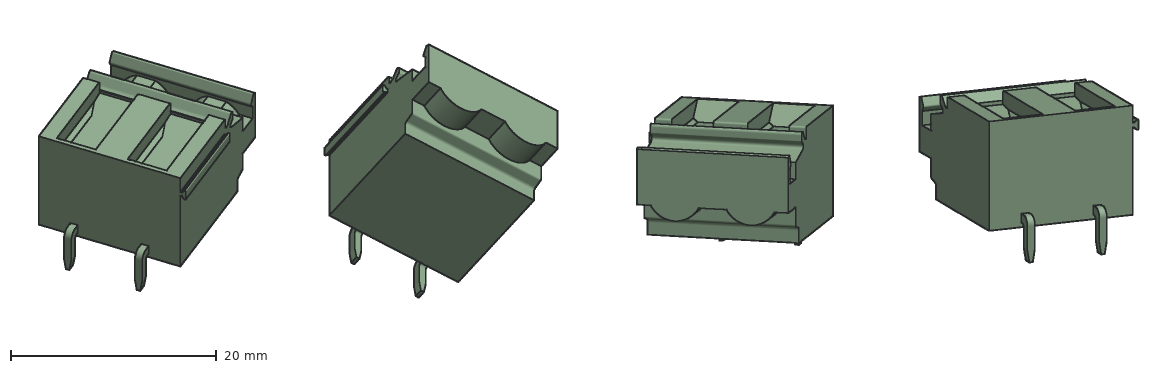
import cadquery as cq
import math


POLE_COUNT = 2
POLE_PITCH = 7.62
HOUSING_WIDTH = POLE_COUNT * POLE_PITCH
HOUSING_HEIGHT = 11.0
HOUSING_DEPTH = 17.0

TOP_WALL_Y = 10.21
REAR_WALL_Y = 14.2
BASE_WALL_Y = 12.97
LEDGE_BOTTOM = 3.83
LEDGE_TOP = 6.62
TOP_EDGE_RADIUS = 0.2

NOTCH_CORNER_Z = 9.68
NOTCH_RADIUS = 0.2
FINGER_FOOT_Y = 10.8
FINGER_FOOT_Z = 9.99
FINGER_FOOT_RADIUS = 0.46
FINGER_REAR_Y = 11.93
FINGER_APEX_Z = 11.27
FINGER_TIP_RADIUS = 0.3
FINGER_LOWER_Z = 9.9
FINGER_LOWER_RADIUS = 0.1
THROAT_Y = 10.99
THROAT_Z = 9.15
THROAT_RADIUS = 0.28
SLOPE_END_Z = 8.29

LIP_INNER_Y = 16.37
LIP_NECK_Z = 8.05
LIP_NOSE_Y = 16.02
LIP_NOSE_Z = 8.57
LIP_NOSE_RADIUS = 0.18
LIP_PEAK_Y = 16.58
LIP_PEAK_Z = 9.49
LIP_PEAK_RADIUS = 0.07
LIP_OUTER_Z = 9.35

STEP_OUTER_Z = 1.89
STEP_OUTER_RADIUS = 0.24
STEP_INNER_Z = 1.55
STEP_INNER_RADIUS = 0.37

BOSS_RADIUS = 2.75
BOSS_CENTRE_Z = 5.16
BOSS_TOP = 7.73

POCKET_WIDTH = 4.18
POCKET_FRONT_Y = 0.5
POCKET_DEPTH = 1.89
POCKET_FLOOR_REAR_Y = 7.22
POCKET_REAR_RISE = 0.5
POCKET_FLOOR_WIDTH = 3.09
POCKET_SIDE_RISE = 0.3

RAIL_CENTRE_Z = 9.03
RAIL_PROJECTION = 0.6
RAIL_NECK_HEIGHT = 0.48
RAIL_HEAD_HEIGHT = 1.05
RAIL_NECK_LENGTH = 0.15
RAIL_HEAD_THICKNESS = 0.17
RAIL_EDGE_RADIUS = 0.1
RAIL_LENGTH = TOP_WALL_Y - TOP_EDGE_RADIUS

PIN_WIDTH = 0.8
PIN_THICKNESS = 0.9
PIN_REACH = 1.5
PIN_TOP = 1.39
PIN_DROP = 3.2
PIN_INNER_RADIUS = 0.39
PIN_OUTER_RADIUS = 0.9
PIN_TAPER_LENGTH = 1.25
PIN_TIP_WIDTH = 0.37

POLE_CENTRES = [(pole + 0.5) * POLE_PITCH for pole in range(POLE_COUNT)]


def rounded_outline(plane, corners):
    """Closed outline through (u, v, radius) corners; a radius of 0 leaves the corner sharp."""
    outline = None
    for index, (u, v, radius) in enumerate(corners):
        corner = cq.Vector(u, v)
        before = cq.Vector(*corners[index - 1][:2])
        after = cq.Vector(*corners[(index + 1) % len(corners)][:2])
        to_before = (before - corner).normalized()
        to_after = (after - corner).normalized()
        half_angle = to_before.getAngle(to_after) / 2
        tangent_length = radius / math.tan(half_angle)
        start = corner + to_before * tangent_length
        if outline is None:
            outline = cq.Workplane(plane).moveTo(start.x, start.y)
        else:
            outline = outline.lineTo(start.x, start.y)
        if radius > 0:
            bisector = (to_before + to_after).normalized()
            middle = corner + bisector * (radius / math.sin(half_angle) - radius)
            end = corner + to_after * tangent_length
            outline = outline.threePointArc((middle.x, middle.y), (end.x, end.y))
    return outline.close()


def make_shell():
    """Constant side profile (Y, Z, corner radius) across the full width."""
    profile = [
        (0, 0, 0),
        (0, HOUSING_HEIGHT, 0),
        (TOP_WALL_Y, HOUSING_HEIGHT, TOP_EDGE_RADIUS),
        (TOP_WALL_Y, NOTCH_CORNER_Z, NOTCH_RADIUS),
        (FINGER_FOOT_Y, FINGER_FOOT_Z, FINGER_FOOT_RADIUS),
        (FINGER_REAR_Y, FINGER_APEX_Z, FINGER_TIP_RADIUS),
        (FINGER_REAR_Y, FINGER_LOWER_Z, FINGER_LOWER_RADIUS),
        (THROAT_Y, THROAT_Z, THROAT_RADIUS),
        (REAR_WALL_Y, SLOPE_END_Z, 0),
        (REAR_WALL_Y, LEDGE_TOP, 0),
        (LIP_INNER_Y, LEDGE_TOP, 0),
        (LIP_INNER_Y, LIP_NECK_Z, 0),
        (LIP_NOSE_Y, LIP_NOSE_Z, LIP_NOSE_RADIUS),
        (LIP_PEAK_Y, LIP_PEAK_Z, LIP_PEAK_RADIUS),
        (HOUSING_DEPTH, LIP_OUTER_Z, 0),
        (HOUSING_DEPTH, LEDGE_BOTTOM, 0),
        (REAR_WALL_Y, LEDGE_BOTTOM, 0),
        (REAR_WALL_Y, STEP_OUTER_Z, STEP_OUTER_RADIUS),
        (BASE_WALL_Y, STEP_INNER_Z, STEP_INNER_RADIUS),
        (BASE_WALL_Y, 0, 0),
    ]
    return rounded_outline("YZ", profile).extrude(HOUSING_WIDTH)


def make_boss(centre_x):
    """Round boss through the ledge, from the rear wall to the rear end, cut flat at the top."""
    boss = (
        cq.Workplane("XZ", origin=(centre_x, HOUSING_DEPTH, BOSS_CENTRE_Z))
        .circle(BOSS_RADIUS)
        .extrude(HOUSING_DEPTH - REAR_WALL_Y)
    )
    flat_cut = (
        cq.Workplane("XY", origin=(centre_x, HOUSING_DEPTH, BOSS_TOP))
        .rect(2 * BOSS_RADIUS, 2 * HOUSING_DEPTH)
        .extrude(BOSS_RADIUS)
    )
    return boss.cut(flat_cut)


def make_pocket(centre_x):
    """Funnel pocket: a 45 degree front slope, a flat floor, a shallow rear slope and low side slopes."""
    floor_z = HOUSING_HEIGHT - POCKET_DEPTH
    side_profile = (
        cq.Workplane("YZ", origin=(centre_x, 0, 0))
        .moveTo(POCKET_FRONT_Y, HOUSING_HEIGHT)
        .lineTo(POCKET_FRONT_Y + POCKET_DEPTH, floor_z)
        .lineTo(POCKET_FLOOR_REAR_Y, floor_z)
        .lineTo(TOP_WALL_Y, floor_z + POCKET_REAR_RISE)
        .lineTo(TOP_WALL_Y, HOUSING_HEIGHT)
        .close()
        .extrude(POCKET_WIDTH / 2, both=True)
    )
    cross_profile = (
        cq.Workplane("XZ", origin=(centre_x, 0, floor_z))
        .moveTo(-POCKET_FLOOR_WIDTH / 2, 0)
        .lineTo(POCKET_FLOOR_WIDTH / 2, 0)
        .lineTo(POCKET_WIDTH / 2, POCKET_SIDE_RISE)
        .lineTo(POCKET_WIDTH / 2, POCKET_DEPTH)
        .lineTo(-POCKET_WIDTH / 2, POCKET_DEPTH)
        .lineTo(-POCKET_WIDTH / 2, POCKET_SIDE_RISE)
        .close()
        .extrude(-TOP_WALL_Y)
    )
    return side_profile.intersect(cross_profile)


def make_rail():
    """Dovetail rail with a narrow neck, flared flanks and rounded outer edges."""
    head_x = RAIL_PROJECTION - RAIL_HEAD_THICKNESS
    upper_half = [
        (0, RAIL_NECK_HEIGHT / 2, 0),
        (RAIL_NECK_LENGTH, RAIL_NECK_HEIGHT / 2, 0),
        (head_x, RAIL_HEAD_HEIGHT / 2, 0),
        (RAIL_PROJECTION, RAIL_HEAD_HEIGHT / 2, RAIL_EDGE_RADIUS),
    ]
    lower_half = [(x, -z, radius) for x, z, radius in reversed(upper_half)]
    return (
        rounded_outline("XZ", upper_half + lower_half)
        .extrude(-RAIL_LENGTH)
        .translate((HOUSING_WIDTH, 0, RAIL_CENTRE_Z))
    )


def make_housing():
    housing = make_shell().union(make_rail())
    for centre_x in POLE_CENTRES:
        housing = housing.union(make_boss(centre_x)).cut(make_pocket(centre_x))
    return housing


def make_pin(centre_x):
    """Flat strip bent down from the pin wall, tapering in width towards its tip."""
    inner_y = PIN_THICKNESS - PIN_REACH
    bent_strip = rounded_outline("YZ", [
        (0, PIN_TOP, 0),
        (-PIN_REACH, PIN_TOP, PIN_OUTER_RADIUS),
        (-PIN_REACH, -PIN_DROP, 0),
        (inner_y, -PIN_DROP, 0),
        (inner_y, PIN_TOP - PIN_THICKNESS, PIN_INNER_RADIUS),
        (0, PIN_TOP - PIN_THICKNESS, 0),
    ]).extrude(HOUSING_WIDTH)
    taper_top = PIN_TAPER_LENGTH - PIN_DROP
    front_outline = (
        cq.Workplane("XZ", origin=(centre_x, 0, 0))
        .moveTo(-PIN_WIDTH / 2, PIN_TOP)
        .lineTo(PIN_WIDTH / 2, PIN_TOP)
        .lineTo(PIN_WIDTH / 2, taper_top)
        .lineTo(PIN_TIP_WIDTH / 2, -PIN_DROP)
        .lineTo(-PIN_TIP_WIDTH / 2, -PIN_DROP)
        .lineTo(-PIN_WIDTH / 2, taper_top)
        .close()
        .extrude(PIN_REACH)
    )
    return bent_strip.intersect(front_outline)


housing = make_housing()
pins = [make_pin(centre_x) for centre_x in POLE_CENTRES]

result = cq.Compound.makeCompound([housing.val(), *[pin.val() for pin in pins]])